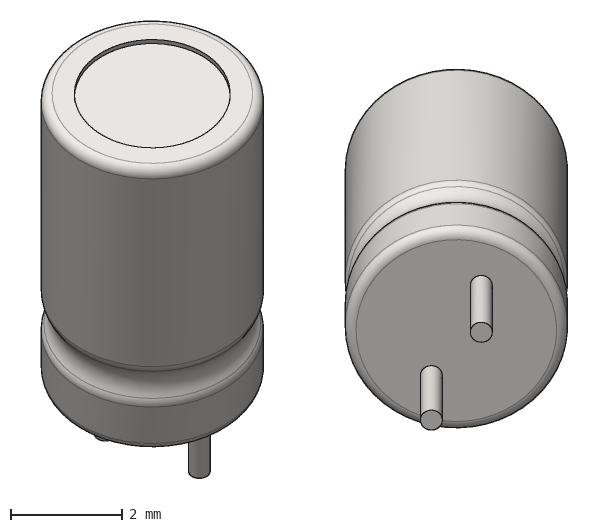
import cadquery as cq
import math

total_height = 9
can_diameter = 4.0
can_radius = can_diameter / 2
rim_fillet = 0.2

groove_height = 1.61
groove_half_width = 0.5
groove_radius = 0.6
groove_blend_radius = 0.3

recess_diameter = 2.8
recess_depth = 0.1

lead_diameter = 0.4
lead_spacing = 2.0
long_lead_length = 2.0
short_lead_length = 1.9

can_height = total_height - long_lead_length


def make_can():
    """Revolve the grooved half section, with the can bottom at Z = 0."""
    blend_angle = math.asin(groove_half_width / (groove_radius + groove_blend_radius))
    blend_center_x = can_radius - groove_blend_radius
    groove_center_x = blend_center_x + (groove_radius + groove_blend_radius) * math.cos(blend_angle)
    groove_floor_x = groove_center_x - groove_radius

    tangent_x = blend_center_x + groove_blend_radius * math.cos(blend_angle)
    tangent_offset = groove_radius * math.sin(blend_angle)
    blend_mid_x = blend_center_x + groove_blend_radius * math.cos(blend_angle / 2)
    blend_mid_offset = groove_half_width - groove_blend_radius * math.sin(blend_angle / 2)

    section = (
        cq.Workplane("XZ")
        .lineTo(can_radius, 0)
        .lineTo(can_radius, groove_height - groove_half_width)
        .threePointArc((blend_mid_x, groove_height - blend_mid_offset),
                       (tangent_x, groove_height - tangent_offset))
        .threePointArc((groove_floor_x, groove_height),
                       (tangent_x, groove_height + tangent_offset))
        .threePointArc((blend_mid_x, groove_height + blend_mid_offset),
                       (can_radius, groove_height + groove_half_width))
        .lineTo(can_radius, can_height)
        .lineTo(0, can_height)
        .close()
    )
    can = section.revolve(360, (0, 0, 0), (0, 1, 0))
    can = can.faces("<Z or >Z").edges().fillet(rim_fillet)
    return can.faces(">Z").workplane(origin=(0, 0, 0)).circle(recess_diameter / 2).cutBlind(-recess_depth)


def make_lead(x, length):
    """Round lead hanging from the can bottom."""
    return cq.Workplane("XY").center(x, 0).circle(lead_diameter / 2).extrude(-length)


long_lead = make_lead(-lead_spacing / 2, long_lead_length)
short_lead = make_lead(lead_spacing / 2, short_lead_length)
result = make_can().union(long_lead).union(short_lead)